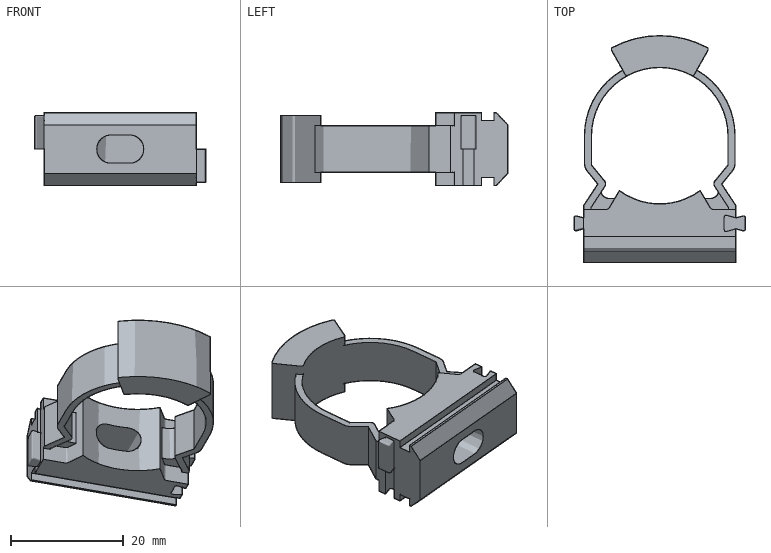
import cadquery as cq
import math

TAB_SPAN = 30.4
BASE_LENGTH = 27.0
BASE_HEIGHT = 13.0
SHOULDER_Y = 9.48
BEVEL_Y = 2.05
BEVEL_Z = 2.18
GROOVE_START_Y = 2.45
GROOVE_WIDTH = 2.18
GROOVE_DEPTH = 1.4

TOTAL_DEPTH = 40.3
BORE_RADIUS = 12.1
BORE_Y = 22.55
HORN_TIP_X = 7.18
HORN_BASE_X = 9.1
HORN_FILLET = 0.6

SLOT_LENGTH = 8.35
SLOT_HEIGHT = 5.0

STRAP_THICKNESS = 1.3
STRAP_HEIGHT = 8.3
STRAP_ROOT_Y = 6.05
FOOT_Y = 10.15
KNEE_X = 11.0
KNEE_Y = 13.95
SHOULDER_BEND_Y = 16.85
SHOULDER_BEND_RADIUS = 2.35
KNEE_BEND_RADIUS = 0.8

WEB_TOP_Y = 11.4
WEB_HEIGHT = 6.45
WEB_FILLET = 1.55
WEB_FILLET_X = 8.95

GRIP_HALF_ANGLE = math.radians(29.5)
GRIP_HEIGHT = 11.95
GRIP_FILLET = 0.4

DOVETAIL_Y = 6.98
DOVETAIL_NECK = 1.98
DOVETAIL_ANGLE = math.radians(15)
DOVETAIL_FILLET = 0.32
TAB_HEIGHT = 5.95
TAB_RIM_FILLET = 0.262
SOCKET_DEPTH = 2.05

HALF_LENGTH = BASE_LENGTH / 2
HALF_HEIGHT = BASE_HEIGHT / 2
ARCH_RADIUS = BORE_RADIUS + STRAP_THICKNESS


def centred_extrude(sketch, height):
    """Extrude an XY outline symmetrically about Z = 0."""
    return sketch.extrude(height / 2, both=True)


def make_base():
    """Base block with the pipe seat, horns, clamping grooves and bevelled back edges."""
    horn_tip_y = BORE_Y - math.sqrt(BORE_RADIUS**2 - HORN_TIP_X**2)
    outline = (
        cq.Workplane("XY")
        .moveTo(-HALF_LENGTH, 0)
        .lineTo(HALF_LENGTH, 0)
        .lineTo(HALF_LENGTH, SHOULDER_Y)
        .lineTo(HORN_BASE_X, SHOULDER_Y)
        .lineTo(HORN_TIP_X, horn_tip_y)
        .threePointArc((0, BORE_Y - BORE_RADIUS), (-HORN_TIP_X, horn_tip_y))
        .lineTo(-HORN_BASE_X, SHOULDER_Y)
        .lineTo(-HALF_LENGTH, SHOULDER_Y)
        .close()
    )
    base = centred_extrude(outline, BASE_HEIGHT)
    for side in (-1, 1):
        horn_root = cq.selectors.NearestToPointSelector((side * HORN_BASE_X, SHOULDER_Y, 0))
        base = base.edges("|Z").edges(horn_root).fillet(HORN_FILLET)

    for side in (-1, 1):
        bevel = (
            cq.Workplane("YZ")
            .polyline([
                (0, side * HALF_HEIGHT),
                (BEVEL_Y, side * HALF_HEIGHT),
                (0, side * (HALF_HEIGHT - BEVEL_Z)),
            ])
            .close()
            .extrude(HALF_LENGTH, both=True)
        )
        groove = cq.Workplane("XY").box(BASE_LENGTH, GROOVE_WIDTH, 2 * GROOVE_DEPTH).translate(
            (0, GROOVE_START_Y + GROOVE_WIDTH / 2, side * HALF_HEIGHT)
        )
        base = base.cut(bevel).cut(groove)
    return base


def strap_outline():
    """Sharp-cornered outer outline of the strap, closed inside the base."""
    return (
        cq.Workplane("XY")
        .moveTo(-HALF_LENGTH, STRAP_ROOT_Y)
        .lineTo(HALF_LENGTH, STRAP_ROOT_Y)
        .lineTo(HALF_LENGTH, FOOT_Y)
        .lineTo(KNEE_X, KNEE_Y)
        .lineTo(ARCH_RADIUS, SHOULDER_BEND_Y)
        .lineTo(ARCH_RADIUS, BORE_Y)
        .threePointArc((0, BORE_Y + ARCH_RADIUS), (-ARCH_RADIUS, BORE_Y))
        .lineTo(-ARCH_RADIUS, SHOULDER_BEND_Y)
        .lineTo(-KNEE_X, KNEE_Y)
        .lineTo(-HALF_LENGTH, FOOT_Y)
        .close()
    )


def make_strap():
    """Thin band arching over the pipe, pinched in at a knee above each foot."""
    inside = strap_outline().offset2D(-STRAP_THICKNESS, "intersection")
    strap = centred_extrude(strap_outline(), STRAP_HEIGHT).cut(centred_extrude(inside, STRAP_HEIGHT))
    for side in (-1, 1):
        bend = cq.selectors.NearestToPointSelector((side * ARCH_RADIUS, SHOULDER_BEND_Y, 0))
        knee = cq.selectors.NearestToPointSelector((side * (KNEE_X - STRAP_THICKNESS), KNEE_Y, 0))
        strap = strap.edges("|Z").edges(bend).fillet(SHOULDER_BEND_RADIUS)
        strap = strap.edges("|Z").edges(knee).fillet(KNEE_BEND_RADIUS)
    return strap


def make_webs():
    """Low webs that fill the corners between the horns and the strap feet."""
    outline = (
        cq.Workplane("XY")
        .moveTo(HORN_TIP_X, SHOULDER_Y)
        .lineTo(HORN_TIP_X, WEB_TOP_Y)
        .lineTo(WEB_FILLET_X, WEB_TOP_Y)
        .radiusArc((WEB_FILLET_X + WEB_FILLET, WEB_TOP_Y + WEB_FILLET), -WEB_FILLET)
        .lineTo(HALF_LENGTH - STRAP_THICKNESS / 2, SHOULDER_Y)
        .close()
    )
    web = centred_extrude(outline, WEB_HEIGHT)
    return web.union(web.mirror("YZ"))


def make_grip():
    """Ring sector that thickens the crown of the strap."""
    outer_radius = TOTAL_DEPTH - BORE_Y

    def polar(radius, angle):
        return (radius * math.sin(angle), BORE_Y + radius * math.cos(angle))

    outline = (
        cq.Workplane("XY")
        .moveTo(*polar(BORE_RADIUS, -GRIP_HALF_ANGLE))
        .lineTo(*polar(outer_radius, -GRIP_HALF_ANGLE))
        .threePointArc(polar(outer_radius, 0), polar(outer_radius, GRIP_HALF_ANGLE))
        .lineTo(*polar(BORE_RADIUS, GRIP_HALF_ANGLE))
        .threePointArc(polar(BORE_RADIUS, 0), polar(BORE_RADIUS, -GRIP_HALF_ANGLE))
        .close()
    )
    return centred_extrude(outline, GRIP_HEIGHT).edges("|Z").fillet(GRIP_FILLET)


def make_dovetail(depth, height):
    """Dovetail growing along +X from the end face at the origin, standing on Z = 0."""
    neck = DOVETAIL_NECK / 2
    tip = neck + depth * math.tan(DOVETAIL_ANGLE)
    return (
        cq.Workplane("XY")
        .polyline([(0, -neck), (depth, -tip), (depth, tip), (0, neck)])
        .close()
        .extrude(height)
        .edges("|Z and >X")
        .fillet(DOVETAIL_FILLET)
    )


def make_right_tab():
    """Tab on the +X end, hanging down from mid-height with a rounded lower rim."""
    depth = TAB_SPAN / 2 - HALF_LENGTH
    tab = make_dovetail(depth, TAB_HEIGHT).faces(">Z").edges("not <X").fillet(TAB_RIM_FILLET)
    return tab.rotate((0, 0, 0), (1, 0, 0), 180).translate((HALF_LENGTH, DOVETAIL_Y, 0))


def make_right_socket():
    """Socket in the +X end, open upward from mid-height."""
    socket = make_dovetail(SOCKET_DEPTH, HALF_HEIGHT)
    return socket.rotate((0, 0, 0), (0, 0, 1), 180).translate((HALF_LENGTH, DOVETAIL_Y, 0))


def half_turn(shape):
    """Turn a +X end feature half round the Y axis onto the -X end."""
    return shape.rotate((0, 0, 0), (0, 1, 0), 180)


slot = (
    cq.Workplane("XZ")
    .slot2D(SLOT_LENGTH, SLOT_HEIGHT)
    .extrude(-BORE_Y)
)

result = make_base().union(make_strap()).union(make_webs()).union(make_grip())
result = result.cut(slot)

right_tab = make_right_tab()
right_socket = make_right_socket()
for tab, socket in ((right_tab, right_socket), (half_turn(right_tab), half_turn(right_socket))):
    result = result.cut(socket).union(tab)